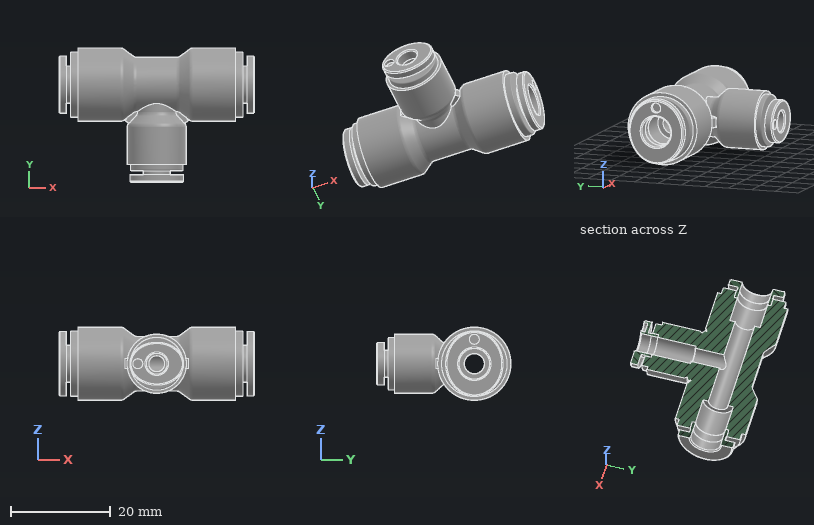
import cadquery as cq


PORT_REACH = 19.6
EDGE_CHAMFER = 0.25
RING_FILLET = 0.25
CONE_FILLET = 1.0

RUN_DIAMETER = 14.7
RUN_RING_DIAMETER = 13.15
RUN_RING_FACE = 17.3
RUN_BARREL_FACE = 15.8
RUN_CONE_OUTER = 6.85
RUN_CONE_INNER = 4.35
RUN_WAIST_DIAMETER = 11.0
RUN_SEAT_DIAMETER = 6.2
RUN_SEAT_DEPTH = 10.0
RUN_PASSAGE_DIAMETER = 4.0

BRANCH_DIAMETER = 11.9
BRANCH_RING_DIAMETER = 10.6
BRANCH_RING_FACE = 17.25
BRANCH_BARREL_FACE = 16.0
BRANCH_CONE_OUTER = 8.1
BRANCH_CONE_INNER = 5.95
BRANCH_WAIST_DIAMETER = 8.0
BRANCH_SEAT_DIAMETER = 4.2
BRANCH_SEAT_DEPTH = 8.0
BRANCH_PASSAGE_DIAMETER = 3.2

GUSSET_THICKNESS = 2.0
GUSSET_RUN_CORNER = (6.4, -7.15)
GUSSET_BRANCH_CORNER = (5.7, -7.7)

RUN_FLANGE_LENGTH = 13.0
RUN_FLANGE_WIDTH = 11.5
RUN_FLANGE_BACK = 18.1
RUN_STEM_DIAMETER = 7.5
RUN_STEM_END = 15.65
RUN_HOLE_DIAMETER = 6.2
RUN_GRIP_DIAMETER = 6.13
RUN_DIMPLE_OFFSET = 4.9

BRANCH_FLANGE_LENGTH = 10.8
BRANCH_FLANGE_WIDTH = 8.6
BRANCH_FLANGE_BACK = 18.0
BRANCH_STEM_DIAMETER = 5.5
BRANCH_STEM_END = 16.0
BRANCH_HOLE_DIAMETER = 4.2
BRANCH_GRIP_DIAMETER = 4.18
BRANCH_DIMPLE_OFFSET = 3.8

GRIP_START = 17.35
DIMPLE_DIAMETER = 2.0
DIMPLE_DEPTH = 0.8

LEFT_PORT = cq.Plane(origin=(0, 0, 0), xDir=(0, 0, 1), normal=(-1, 0, 0))
RIGHT_PORT = cq.Plane(origin=(0, 0, 0), xDir=(0, 0, 1), normal=(1, 0, 0))
BRANCH_PORT = cq.Plane(origin=(0, 0, 0), xDir=(-1, 0, 0), normal=(0, -1, 0))
RUN_PORTS = (LEFT_PORT, RIGHT_PORT)


def cylinder(port, diameter, start, end):
    """Cylinder on a port axis between two distances from the tee centre."""
    return cq.Workplane(port).workplane(offset=start).circle(diameter / 2).extrude(end - start)


def port_shell(port, waist, cone_inner, cone_outer, barrel, barrel_face, ring, ring_face):
    """Outside of one housing arm: waist, rounded cone, barrel and retaining ring."""
    arm = (
        cq.Workplane("XZ")
        .moveTo(0, 0)
        .lineTo(waist / 2, 0)
        .lineTo(waist / 2, cone_inner)
        .lineTo(barrel / 2, cone_outer)
        .lineTo(barrel / 2, barrel_face)
        .lineTo(0, barrel_face)
        .close()
        .revolve(360, (0, 0, 0), (0, 1, 0))
    )
    for cone_end in (cone_inner, cone_outer):
        arm = arm.edges(cq.selectors.NearestToPointSelector((0, 0, cone_end))).fillet(CONE_FILLET)
    placed_arm = cq.Workplane(obj=arm.val().moved(cq.Location(port)))
    retaining_ring = cylinder(port, ring, barrel_face, ring_face)
    front_face = cq.selectors.DirectionMinMaxSelector(port.zDir)
    retaining_ring = retaining_ring.faces(front_face).edges().fillet(RING_FILLET)
    return placed_arm.union(retaining_ring)


def gusset():
    """Flat plate across both inner corners of the tee."""
    run_x, run_y = GUSSET_RUN_CORNER
    branch_x, branch_y = GUSSET_BRANCH_CORNER
    outline = [
        (0, 0),
        (run_x, run_y),
        (branch_x, branch_y),
        (-branch_x, branch_y),
        (-run_x, run_y),
    ]
    return cq.Workplane("XY").polyline(outline).close().extrude(GUSSET_THICKNESS / 2, both=True)


def port_bore(port, stem, stem_end, seat, seat_depth, passage):
    """Stepped bore of one arm: collet recess, tube socket and flow passage."""
    bore = cylinder(port, stem, stem_end, PORT_REACH)
    bore = bore.union(cylinder(port, seat, seat_depth, PORT_REACH))
    return bore.union(cylinder(port, passage, 0, PORT_REACH))


def make_housing():
    body = port_shell(
        BRANCH_PORT, BRANCH_WAIST_DIAMETER, BRANCH_CONE_INNER, BRANCH_CONE_OUTER,
        BRANCH_DIAMETER, BRANCH_BARREL_FACE, BRANCH_RING_DIAMETER, BRANCH_RING_FACE,
    )
    for port in RUN_PORTS:
        body = body.union(port_shell(
            port, RUN_WAIST_DIAMETER, RUN_CONE_INNER, RUN_CONE_OUTER,
            RUN_DIAMETER, RUN_BARREL_FACE, RUN_RING_DIAMETER, RUN_RING_FACE,
        ))
    body = body.union(gusset())
    for port in RUN_PORTS:
        body = body.cut(port_bore(
            port, RUN_STEM_DIAMETER, RUN_STEM_END,
            RUN_SEAT_DIAMETER, RUN_SEAT_DEPTH, RUN_PASSAGE_DIAMETER,
        ))
    return body.cut(port_bore(
        BRANCH_PORT, BRANCH_STEM_DIAMETER, BRANCH_STEM_END,
        BRANCH_SEAT_DIAMETER, BRANCH_SEAT_DEPTH, BRANCH_PASSAGE_DIAMETER,
    ))


def make_collet(port, length, width, flange_back, stem, stem_end, hole, grip, dimple_offset):
    """Release collet: oval flange on a tubular stem, with a dimple in its face."""
    flange = (
        cq.Workplane(port)
        .workplane(offset=flange_back)
        .ellipse(length / 2, width / 2)
        .extrude(PORT_REACH - flange_back)
    )
    front_face = cq.selectors.DirectionMinMaxSelector(port.zDir)
    collet = flange.union(cylinder(port, stem, stem_end, flange_back))
    collet = collet.cut(cylinder(port, hole, GRIP_START, PORT_REACH))
    collet = collet.cut(cylinder(port, grip, stem_end, PORT_REACH))
    collet = collet.faces(front_face).edges().chamfer(EDGE_CHAMFER)
    dimple = (
        cq.Workplane(port)
        .workplane(offset=PORT_REACH - DIMPLE_DEPTH)
        .center(dimple_offset, 0)
        .circle(DIMPLE_DIAMETER / 2)
        .extrude(DIMPLE_DEPTH)
    )
    return collet.cut(dimple)


housing = make_housing()
run_collets = [
    make_collet(
        port, RUN_FLANGE_LENGTH, RUN_FLANGE_WIDTH, RUN_FLANGE_BACK,
        RUN_STEM_DIAMETER, RUN_STEM_END, RUN_HOLE_DIAMETER, RUN_GRIP_DIAMETER, RUN_DIMPLE_OFFSET,
    )
    for port in RUN_PORTS
]
branch_collet = make_collet(
    BRANCH_PORT, BRANCH_FLANGE_LENGTH, BRANCH_FLANGE_WIDTH, BRANCH_FLANGE_BACK,
    BRANCH_STEM_DIAMETER, BRANCH_STEM_END, BRANCH_HOLE_DIAMETER, BRANCH_GRIP_DIAMETER, BRANCH_DIMPLE_OFFSET,
)

result = cq.Compound.makeCompound(
    [housing.val(), *[collet.val() for collet in run_collets], branch_collet.val()]
)